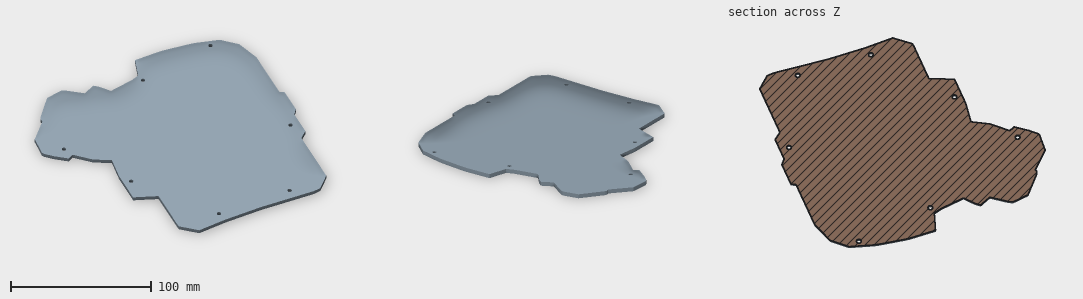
import cadquery as cq

thickness = 3.0
hole_diameter = 3.0

outline = [
    (0.0, 99.0),
    (0.0, 119.0),
    (0.4, 122.8),
    (2.9, 141.9),
    (3.6, 145.3),
    (8.3, 162.0),
    (18.3, 172.7),
    (35.0, 178.2),
    (72.8, 178.2),
    (74.5, 181.5),
    (92.9, 181.5),
    (97.0, 178.2),
    (115.2, 178.2),
    (120.0, 172.7),
    (160.8, 172.7),
    (169.8, 163.7),
    (170.5, 158.5),
    (168.2, 117.4),
    (168.2, 89.0),
    (169.5, 68.0),
    (159.7, 56.6),
    (157.0, 56.5),
    (126.8, 56.5),
    (122.0, 44.3),
    (120.1, 39.5),
    (97.0, 39.5),
    (80.7, 41.7),
    (74.4, 30.0),
    (63.7, 18.7),
    (65.9, 14.7),
    (59.1, 6.0),
    (54.3, 0.9),
    (52.6, 0.0),
    (48.8, 0.4),
    (38.5, 1.0),
    (24.9, 13.8),
    (23.0, 13.2),
    (21.5, 13.8),
    (6.0, 26.5),
    (4.2, 37.0),
    (4.0, 39.0),
    (5.6, 42.1),
    (13.6, 52.8),
    (9.5, 61.3),
    (12.3, 64.8),
    (19.6, 70.5),
    (16.5, 88.5),
    (14.5, 94.5),
]

hole_centers = [
    (10.5, 153.7),
    (105.2, 171.3),
    (162.4, 143.0),
    (20.1, 95.6),
    (161.0, 87.8),
    (105.2, 45.2),
    (56.2, 15.6),
]


def make_plate():
    return cq.Workplane("XY").polyline(outline).close().extrude(thickness)


def make_hole_cutters():
    return cq.Workplane("XY").pushPoints(hole_centers).circle(hole_diameter / 2).extrude(thickness)


result = make_plate().cut(make_hole_cutters())